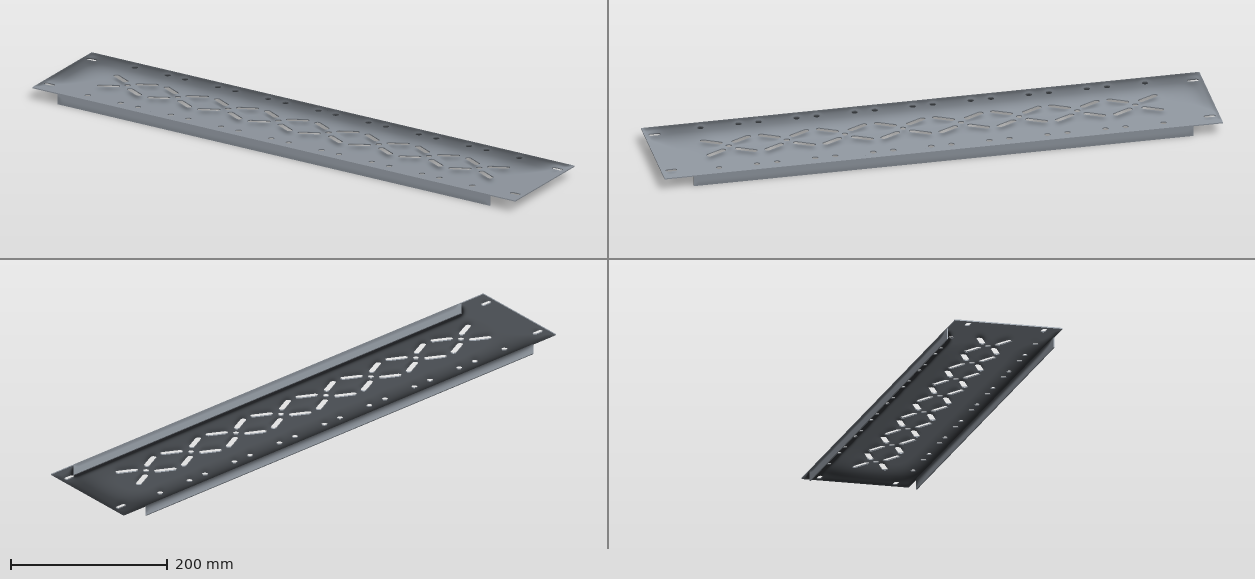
import cadquery as cq

panel_length = 730.0
panel_width = 142.0
panel_height = 15.0
thickness = 1.5
flange_length = 653.0

mount_slot_length = 15.0
mount_slot_width = 6.5
mount_spacing_x = 704.0
mount_spacing_y = 101.0

group_count = 8
group_pitch = 76.0

center_hole_diameter = 8.0
edge_hole_diameter = 8.0
edge_hole_spacing_x = 50.0
edge_hole_spacing_y = 112.5

slant_slot_length = 30.0
slant_slot_width = 8.0
slant_angle = 27.0
slant_spacing_x = 39.5
slant_spacing_y = 30.0

group_centers = [((i - (group_count - 1) / 2) * group_pitch, 0) for i in range(group_count)]


def corners(spacing_x, spacing_y):
    """Corner points of a rectangle centred on the origin."""
    return [(sx * spacing_x / 2, sy * spacing_y / 2) for sx in (-1, 1) for sy in (-1, 1)]


def at_groups(offsets):
    """Repeat the given offsets around every group centre."""
    return [(cx + dx, cy + dy) for cx, cy in group_centers for dx, dy in offsets]


def make_panel():
    """Plate with its top face at Z = 0 and both flanges below it."""
    panel = cq.Workplane("XY").box(panel_length, panel_width, thickness, centered=(True, True, False))
    panel = panel.translate((0, 0, -thickness))
    flange = cq.Workplane("XY").box(flange_length, thickness, panel_height, centered=(True, True, False))
    for side in (-1, 1):
        flange_y = side * (panel_width - thickness) / 2
        panel = panel.union(flange.translate((0, flange_y, -panel_height)))
    return panel


def cut_mounting_slots(panel):
    points = corners(mount_spacing_x, mount_spacing_y)
    return panel.pushPoints(points).slot2D(mount_slot_length, mount_slot_width).cutBlind(-thickness)


def cut_round_holes(panel, points, diameter):
    return panel.pushPoints(points).circle(diameter / 2).cutBlind(-thickness)


def cut_slanted_slots(panel):
    """Cut the slots so that each one slopes inward towards its group centre."""
    for dx, dy in corners(slant_spacing_x, slant_spacing_y):
        angle = slant_angle if dx * dy > 0 else -slant_angle
        slots = panel.pushPoints(at_groups([(dx, dy)])).slot2D(slant_slot_length, slant_slot_width, angle)
        panel = slots.cutBlind(-thickness)
    return panel


result = make_panel()
result = cut_mounting_slots(result)
result = cut_round_holes(result, group_centers, center_hole_diameter)
edge_hole_points = at_groups(corners(edge_hole_spacing_x, edge_hole_spacing_y))
result = cut_round_holes(result, edge_hole_points, edge_hole_diameter)
result = cut_slanted_slots(result)